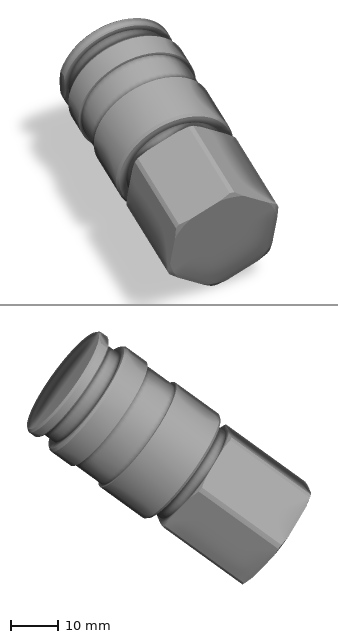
import cadquery as cq
import math

total_length = 56.45
head_end = 2.5
sleeve_start = 6.2
sleeve_end = 31.85
hex_start = 34.55

head_diameter = 26.0
head_front_chamfer = 0.5
head_back_chamfer = 0.3
head_across_flats = 25.05
front_neck_diameter = 23.1
rear_neck_diameter = 22.75
hex_sides = 6
hex_across_flats = 24.0
hex_corner_diameter = 27.1
hex_tilt = 8.9
hex_chamfer_length = 0.4
hex_chamfer_depth = 1.0

sleeve_diameter = 27.15
sleeve_end_chamfer_length = 0.55
sleeve_end_chamfer_depth = 0.45
groove_diameter = 25.85
groove_start = 12.1
groove_end = 19.8


def cylinder(start, end, diameter):
    """Round bar on the X axis from start to end."""
    return cq.Workplane("YZ", origin=(start, 0, 0)).circle(diameter / 2).extrude(end - start)


def barrel(start, end, diameter, start_chamfer=None, end_chamfer=None):
    """Cylinder on the X axis whose ends are square or have a (length, depth) chamfer."""
    radius = diameter / 2
    rim = []
    if start_chamfer:
        length, depth = start_chamfer
        rim += [(start, radius - depth), (start + length, radius)]
    else:
        rim.append((start, radius))
    if end_chamfer:
        length, depth = end_chamfer
        rim += [(end - length, radius), (end, radius - depth)]
    else:
        rim.append((end, radius))
    profile = [(start, 0), *rim, (end, 0)]
    return cq.Workplane("XY").polyline(profile).close().revolve(360, (0, 0, 0), (1, 0, 0))


def make_head():
    """Front flange with chamfered rims and two opposite flats across Y."""
    head = barrel(
        0, head_end, head_diameter,
        (head_front_chamfer, head_front_chamfer),
        (head_back_chamfer, head_back_chamfer),
    )
    slab_between_flats = cq.Workplane("XY").box(total_length, head_across_flats, head_diameter)
    return head.intersect(slab_between_flats)


def make_hexagon():
    """Wrench hexagon with turned corners and conical end chamfers."""
    half_side_angle = 180 / hex_sides
    sharp_corner_diameter = hex_across_flats / math.cos(math.radians(half_side_angle))
    prism = (
        cq.Workplane("YZ", origin=(hex_start, 0, 0))
        .polygon(hex_sides, sharp_corner_diameter)
        .extrude(total_length - hex_start)
        .rotate((0, 0, 0), (1, 0, 0), half_side_angle - hex_tilt)
    )
    chamfer = (hex_chamfer_length, hex_chamfer_depth)
    turned_blank = barrel(hex_start, total_length, hex_corner_diameter, chamfer, chamfer)
    return prism.intersect(turned_blank)


def make_coupling_body():
    """Head, both necks and hexagon joined into one core."""
    front_neck = cylinder(head_end, sleeve_end, front_neck_diameter)
    rear_neck = cylinder(sleeve_end, hex_start, rear_neck_diameter)
    return make_head().union(front_neck).union(rear_neck).union(make_hexagon())


def make_sleeve():
    """Sleeve around the front neck, with a shallow groove between two collars."""
    outer_chamfer = (sleeve_end_chamfer_length, sleeve_end_chamfer_depth)
    front_collar = barrel(sleeve_start, groove_start, sleeve_diameter, start_chamfer=outer_chamfer)
    groove_floor = cylinder(groove_start, groove_end, groove_diameter)
    rear_collar = barrel(groove_end, sleeve_end, sleeve_diameter, end_chamfer=outer_chamfer)
    bore = cylinder(sleeve_start, sleeve_end, front_neck_diameter)
    return front_collar.union(groove_floor).union(rear_collar).cut(bore)


coupling_body = make_coupling_body()
sleeve = make_sleeve()

result = cq.Compound.makeCompound([coupling_body.val(), sleeve.val()])